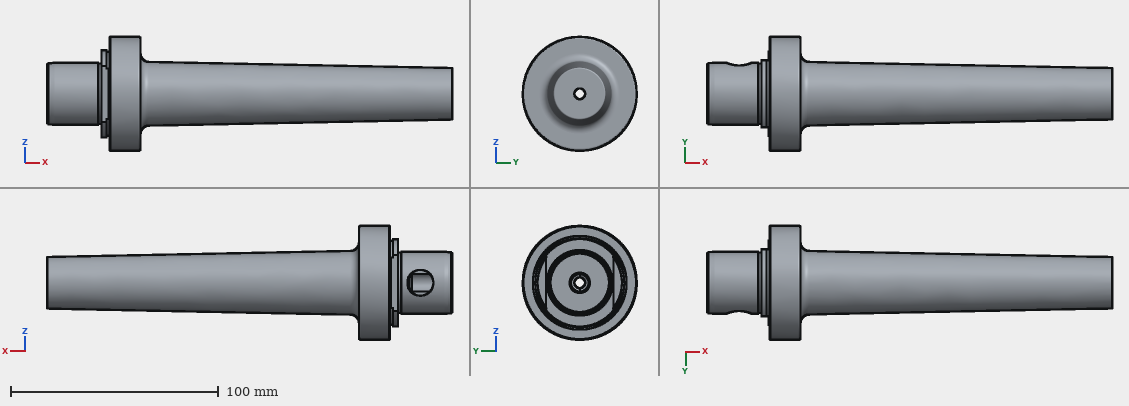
import cadquery as cq
import math

total_length = 195.0
lead_length = 2.0
lead_taper_end = 3.7
undercut_start = 24.4
collar_front = 26.1
collar_back = 28.7
flats_back = 29.5
flange_front = 30.0
joint_start = 31.2
socket_floor = 37.5
flange_back = 45.0

spigot_radius = 15.0
lead_radius = 14.8
tip_chamfer = 0.8
undercut_depth = 0.4
undercut_mouth_radius = 15.8
collar_radius = 21.0
neck_radius = 20.3
joint_radius = 21.5
flat_distance = 16.2

flange_radius = 27.5
flange_rounding = 1.2
flange_chamfer = 0.4
socket_mouth_radius = joint_radius + (joint_start - flange_front)
shank_start_radius = 15.5
shank_end_radius = 12.5
root_fillet = 3.9
end_rounding = 0.5

bore_radius = 2.5
mouth_radius = 4.3
mouth_depth = 19.5
mouth_chamfer = 0.5
drill_half_angle = math.radians(59)
mouth_cone_length = (mouth_radius - bore_radius) / math.tan(drill_half_angle)
pocket_radius = 6.2
pocket_x = 15.5


def turned(profile):
    """Turn a closed X-Z profile around the X axis."""
    return profile.close().revolve(360, (0, 0, 0), (1, 0, 0))


def axial_bore():
    """Through bore with a wider, chamfered mouth that ends in a drill cone."""
    return turned(
        cq.Workplane("XZ")
        .lineTo(0, mouth_radius + mouth_chamfer)
        .lineTo(mouth_chamfer, mouth_radius)
        .lineTo(mouth_depth, mouth_radius)
        .lineTo(mouth_depth + mouth_cone_length, bore_radius)
        .lineTo(total_length, bore_radius)
        .lineTo(total_length, 0)
    )


def adapter_blank():
    """Spigot, undercut, collar, neck and the plug that fills the shank socket."""
    undercut_radius = spigot_radius - undercut_depth
    return turned(
        cq.Workplane("XZ")
        .lineTo(0, lead_radius - tip_chamfer)
        .lineTo(tip_chamfer, lead_radius)
        .lineTo(lead_length, lead_radius)
        .lineTo(lead_taper_end, spigot_radius)
        .lineTo(undercut_start, spigot_radius)
        .lineTo(undercut_start + undercut_depth, undercut_radius)
        .lineTo(collar_front + undercut_depth, undercut_radius)
        .lineTo(collar_front, undercut_mouth_radius)
        .lineTo(collar_front, collar_radius)
        .lineTo(collar_back, collar_radius)
        .lineTo(collar_back, neck_radius)
        .lineTo(flange_front, neck_radius)
        .lineTo(joint_start, joint_radius)
        .lineTo(socket_floor, joint_radius)
        .lineTo(socket_floor, 0)
    )


def wrench_flats():
    """Material removed at +Y and -Y of the collar to leave two parallel flats."""
    flats_length = flats_back - collar_front
    plane = cq.Workplane("YZ", origin=(collar_front, 0, 0))
    around = plane.circle(flange_radius).extrude(flats_length)
    between = plane.rect(2 * flat_distance, 2 * flange_radius).extrude(flats_length)
    return around.cut(between)


def side_pocket():
    """Round pocket from the +Y side of the spigot down to its axis."""
    return cq.Workplane("XZ", origin=(pocket_x, 0, 0)).circle(pocket_radius).extrude(-flange_radius)


def make_adapter():
    """Spigot adapter with wrench flats, side pocket and bore."""
    return adapter_blank().cut(wrench_flats()).cut(side_pocket()).cut(axial_bore())


def make_shank():
    """Flanged taper shank with a chamfered socket for the adapter."""
    root_x = flange_back + root_fillet
    root_radius = shank_start_radius + root_fillet
    arc_reach = root_fillet * math.sqrt(0.5)
    edge_reach = flange_rounding * math.sqrt(0.5)
    rounding_x = flange_back - flange_rounding
    rounding_r = flange_radius - flange_rounding
    body = turned(
        cq.Workplane("XZ")
        .moveTo(socket_floor, 0)
        .lineTo(socket_floor, joint_radius)
        .lineTo(joint_start, joint_radius)
        .lineTo(flange_front, socket_mouth_radius)
        .lineTo(flange_front, flange_radius - flange_chamfer)
        .lineTo(flange_front + flange_chamfer, flange_radius)
        .lineTo(rounding_x, flange_radius)
        .threePointArc((rounding_x + edge_reach, rounding_r + edge_reach), (flange_back, rounding_r))
        .lineTo(flange_back, root_radius)
        .threePointArc((root_x - arc_reach, root_radius - arc_reach), (root_x, shank_start_radius))
        .lineTo(total_length, shank_end_radius)
        .lineTo(total_length, 0)
    )
    return body.faces(">X").edges().fillet(end_rounding).cut(axial_bore())


adapter = make_adapter()
shank = make_shank()
result = cq.Compound.makeCompound([adapter.val(), shank.val()])